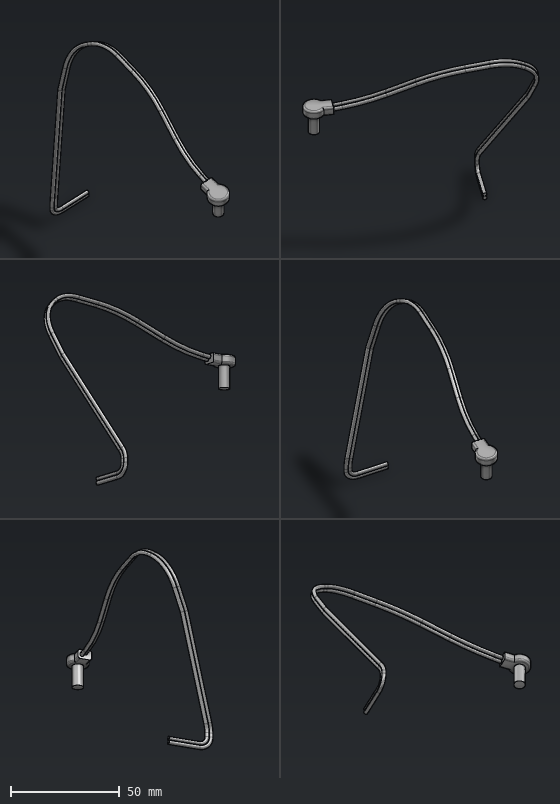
import cadquery as cq
import math

core_dia = 2.0
core_spacing = 2.0
web_thickness = 0.9

tail_x = 23.9
tail_end_y = 22.2
cable_half_width = (core_dia + core_spacing) / 2
plug_face_x = 97.4
cable_insertion = 1.1
cable_corners = [
    ((tail_x, tail_end_y, cable_half_width), 0),
    ((tail_x, cable_half_width, cable_half_width), 4.8),
    ((tail_x, cable_half_width, 11.4), 9.1),
    ((3.8, 22.7, 58.7), 0),
    ((-0.9, 32.5, 79.8), 20.1),
    ((16.7, 39.2, 92.7), 20.8),
    ((48.2, 39.4, 90.2), 63.5),
    ((82.3, 34.1, 75.0), 64.6),
    ((plug_face_x + cable_insertion, 34.0, 73.2), 0),
]

head_x = 106.1
head_y = 33.3
head_radius = 5.2
neck_width = 6.8
plug_bottom_z = 70.7
plug_height = 4.7
plug_rounding = 1.0
stem_dia = 5.3
stem_bottom_z = 60.0


def cable_path(corners):
    """Wire of straight stretches joined by tangent arcs at the corners."""
    points = [cq.Vector(*point) for point, _ in corners]
    edges = []
    position = points[0]
    for i in range(1, len(points) - 1):
        corner = points[i]
        radius = corners[i][1]
        back = (points[i - 1] - corner).normalized()
        ahead = (points[i + 1] - corner).normalized()
        half_turn = (math.pi - back.getAngle(ahead)) / 2
        setback = radius * math.tan(half_turn)
        arc_start = corner + back * setback
        arc_end = corner + ahead * setback
        edges.append(cq.Edge.makeLine(position, arc_start))
        if radius > 0:
            to_arc = radius / math.cos(half_turn) - radius
            arc_middle = corner + (back + ahead).normalized() * to_arc
            edges.append(cq.Edge.makeThreePointArc(arc_start, arc_middle, arc_end))
        position = arc_end
    edges.append(cq.Edge.makeLine(position, points[-1]))
    return cq.Wire.assembleEdges(edges)


def make_cable():
    """Twin-core section, with its cores stacked along Z at the tail, swept along the path."""
    tail_plane = cq.Plane(origin=cable_corners[0][0], xDir=(0, 0, 1), normal=(0, -1, 0))
    web_half = web_thickness / 2
    web_end = core_spacing / 2 - math.sqrt((core_dia / 2) ** 2 - web_half**2)
    section = (
        cq.Workplane(tail_plane)
        .moveTo(web_end, web_half)
        .threePointArc((cable_half_width, 0), (web_end, -web_half))
        .lineTo(-web_end, -web_half)
        .threePointArc((-cable_half_width, 0), (-web_end, web_half))
        .close()
    )
    return section.sweep(cq.Workplane(cable_path(cable_corners)), transition="right")


def make_plug():
    """Head and neck rounded along their top and bottom edges, flat on the cable side."""
    neck_length = head_x - plug_face_x
    plug = (
        cq.Workplane("XY", origin=(head_x, head_y, plug_bottom_z))
        .circle(head_radius)
        .extrude(plug_height)
    )
    neck = (
        cq.Workplane("XY", origin=(head_x - neck_length / 2, head_y, plug_bottom_z))
        .rect(neck_length, neck_width)
        .extrude(plug_height)
    )
    plug = plug.union(neck)
    plug = plug.faces("<Z or >Z").edges("not <X").fillet(plug_rounding)
    stem = (
        cq.Workplane("XY", origin=(head_x, head_y, stem_bottom_z))
        .circle(stem_dia / 2)
        .extrude(plug_bottom_z + plug_height / 2 - stem_bottom_z)
    )
    return plug.union(stem)


result = make_cable().union(make_plug())